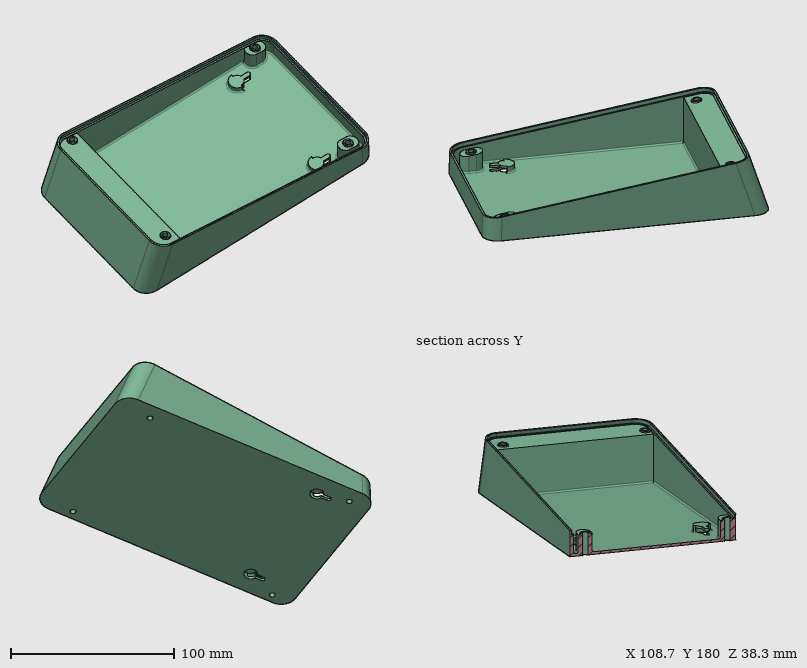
import math

import cadquery as cq

WIDTH = 108.7
LENGTH = 179.96
HEIGHT = 38.28

TOP_SLOPE = 8.0
FRONT_LEAN = 18.0
BACK_DRAFT = 2.0
CORNER_RADIUS = 10.0

FLOOR = 2.0
WALL = 2.4
RIM_WALL = 1.2
LEDGE_DEPTH = 2.5
SHELF_DEPTH = 3.0
SHELF_FROM_BACK = 149.0
FLOOR_FILLET = 1.0

SCREW_CENTER_X = -2.15
SCREW_SPACING_X = 93.1
SCREW_BACK_Y = -13.7
SCREW_FRONT_Y = -155.2
SCREW_DIAMETER = 3.5
COLLAR_DIAMETER = 6.7
COLLAR_TOP_DIAMETER = 5.7
COLLAR_HEIGHT = 0.7
BOSS_WIDTH = 9.4
BOSS_LENGTH = 14.1

KEYHOLE_SPACING_X = 79.9
KEYHOLE_Y = -34.2
KEYHOLE_RADIUS = 4.2
KEYHOLE_SLOT_WIDTH = 3.0
KEYHOLE_SLOT_END_Y = -24.3
COVER_RADIUS = 5.6
COVER_HEIGHT = 4.0
COVER_THICKNESS = 1.5

OVERCUT = 1.0

TOP_TAN = math.tan(math.radians(TOP_SLOPE))
TOP_COS = math.cos(math.radians(TOP_SLOPE))
FRONT_TAN = math.tan(math.radians(FRONT_LEAN))
FRONT_COS = math.cos(math.radians(FRONT_LEAN))
BACK_TAN = math.tan(math.radians(BACK_DRAFT))
BACK_COS = math.cos(math.radians(BACK_DRAFT))
FRONT_TOP_Y = -LENGTH + HEIGHT * FRONT_TAN
SCREW_XS = [SCREW_CENTER_X + side * SCREW_SPACING_X / 2 for side in (-1, 1)]
KEYHOLE_XS = [side * KEYHOLE_SPACING_X / 2 for side in (-1, 1)]


def top_height(y, depth=0.0):
    """Z at position y of the plane lying `depth` under the sloped top."""
    return HEIGHT - (y - FRONT_TOP_Y) * TOP_TAN - depth / TOP_COS


def wedge(inset, bottom, depth):
    """Outer form with its walls moved in by `inset`, from z = bottom to `depth` under the top."""

    def front_y(z):
        return -LENGTH + z * FRONT_TAN + inset / FRONT_COS

    def back_y(z):
        return -z * BACK_TAN - inset / BACK_COS

    base = top_height(0, depth)
    back_top_z = (base + inset / BACK_COS * TOP_TAN) / (1 - BACK_TAN * TOP_TAN)
    front_zero_z = top_height(-LENGTH + inset / FRONT_COS, depth)
    front_top_z = front_zero_z / (1 + FRONT_TAN * TOP_TAN)
    outline = [
        (front_y(bottom), bottom),
        (back_y(bottom), bottom),
        (back_y(back_top_z), back_top_z),
        (front_y(front_top_z), front_top_z),
    ]
    half_width = WIDTH / 2 - inset
    solid = cq.Workplane("YZ").polyline(outline).close().extrude(half_width, both=True)
    corners = solid.faces("<Y or >Y").edges("<X or >X")
    return corners.fillet(CORNER_RADIUS - inset)


def below_top(depth):
    """Everything lying more than `depth` under the sloped top."""
    outline = [
        (0, 0),
        (-LENGTH, 0),
        (-LENGTH, top_height(-LENGTH, depth)),
        (0, top_height(0, depth)),
    ]
    return cq.Workplane("YZ").polyline(outline).close().extrude(WIDTH / 2, both=True)


def cavity():
    """Deep pocket behind the shelf, plus the shallow space above the shelf."""
    deep = wedge(WALL, FLOOR, -OVERCUT)
    front_zone = cq.Workplane("XY").box(WIDTH, LENGTH, 2 * HEIGHT)
    front_zone = front_zone.translate((0, -SHELF_FROM_BACK - LENGTH / 2, 0))
    shelf = below_top(SHELF_DEPTH).intersect(front_zone)
    return deep.cut(shelf)


def rim_recess():
    """Step around the inside of the rim that seats the lid."""
    return wedge(RIM_WALL, 0, -OVERCUT).cut(below_top(LEDGE_DEPTH))


def screw_boss(x):
    """Oblong post rising from the floor to the level of the shelf."""
    post = cq.Workplane("XY").center(x, SCREW_BACK_Y).slot2D(BOSS_LENGTH, BOSS_WIDTH, 90).extrude(HEIGHT)
    return post.intersect(below_top(SHELF_DEPTH))


def screw_collar(x, y):
    """Low tapered collar around a screw hole, standing square on the shelf plane."""
    normal = cq.Vector(0, math.sin(math.radians(TOP_SLOPE)), TOP_COS)
    seat = cq.Vector(x, y, top_height(y, SHELF_DEPTH))
    radius = COLLAR_DIAMETER / 2
    top_radius = COLLAR_TOP_DIAMETER / 2
    return cq.Workplane(cq.Solid.makeCone(radius, top_radius, COLLAR_HEIGHT, pnt=seat, dir=normal))


def screw_hole(x, y):
    """Vertical through hole."""
    return cq.Workplane("XY").center(x, y).circle(SCREW_DIAMETER / 2).extrude(HEIGHT)


def keyhole(x, bottom, height):
    """Round head with a slot toward the back."""
    slot_length = KEYHOLE_SLOT_END_Y - KEYHOLE_Y
    base = cq.Workplane("XY").workplane(offset=bottom)
    head = base.center(x, KEYHOLE_Y).circle(KEYHOLE_RADIUS).extrude(height)
    slot = base.center(x, KEYHOLE_Y + slot_length / 2).slot2D(slot_length, KEYHOLE_SLOT_WIDTH, 90)
    slot = slot.extrude(height)
    return head.union(slot)


def cover_wall(x):
    """Half-round wall in front of a keyhole head that carries its cover plate."""
    base = cq.Workplane("XY").center(x, KEYHOLE_Y)
    half = base.moveTo(-COVER_RADIUS, 0).threePointArc((0, -COVER_RADIUS), (COVER_RADIUS, 0)).close()
    return half.extrude(FLOOR + COVER_HEIGHT)


def floor_edges(body):
    """Edges where the walls, bosses and cover walls meet the top of the floor."""
    slack = 0.01
    lower = (-WIDTH, -LENGTH, FLOOR - slack)
    upper = (WIDTH, LENGTH, FLOOR + slack)
    return body.edges(cq.selectors.BoxSelector(lower, upper))


def build():
    """Shell with its bosses, covered keyholes and screw holes."""
    cover_bottom = FLOOR + COVER_HEIGHT - COVER_THICKNESS
    body = wedge(0, 0, 0).cut(cavity())
    for x in SCREW_XS:
        body = body.union(screw_boss(x))
    for x in KEYHOLE_XS:
        body = body.union(cover_wall(x))
    body = floor_edges(body).fillet(FLOOR_FILLET).cut(rim_recess())
    for x in KEYHOLE_XS:
        body = body.cut(keyhole(x, 0, cover_bottom))
        body = body.union(keyhole(x, cover_bottom, COVER_THICKNESS))
    for x in SCREW_XS:
        for y in (SCREW_BACK_Y, SCREW_FRONT_Y):
            body = body.union(screw_collar(x, y)).cut(screw_hole(x, y))
    return body


result = build()